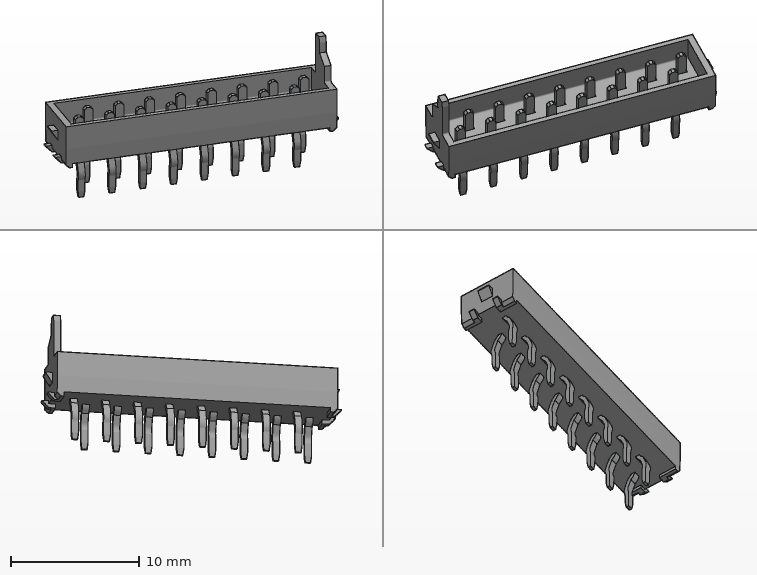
import cadquery as cq
import math

overall_length = 23.35
latch_reach = 0.51
housing_width = 5.0
housing_length = overall_length - 2 * latch_reach
half_length = housing_length / 2
rim_z = 6.7
crease_z = 4.75
underside_z = 3.45
foot_z = 3.13
base_width = 4.85

end_wall = 0.55
side_wall = 0.42
floor_z = 4.79
floor_fillet = 0.12

foot_inner_x = 0.89
foot_bevel = 0.28

upper_latch_width = 1.05
upper_latch_top_z = 5.58
upper_latch_lip = 0.07
lower_latch_width = 0.5
lower_latch_top_z = 3.7
lower_latch_lip = 0.05

tab_left_x = -1.1
tab_right_x = 1.07
tab_root_fillet = 0.15
tab_top_z = 10.1
tab_post_right_x = -0.1
tab_tip_taper = 0.12
tab_taper_z = 9.62
tab_notch_z = 8.78
tab_shoulder_z = 8.13

pin_count = 16
pin_span = 19.05
pin_pitch = pin_span / (pin_count - 1)
blade_row_x = 0.75
blade_thickness = 0.4
blade_length = 0.7
blade_top_z = 6.65
blade_tip_height = 0.19
blade_tip_length = 0.28
blade_root_z = 3.78
blade_collar_length = 0.86
blade_collar_height = 0.05
tail_row_x = 1.25
tail_thickness = 0.35
tail_length = 0.55
tail_taper_z = 0.51
tail_tip_thickness = 0.23
tail_tip_length = 0.42
heel_z = 1.5
knee_x = 1.38
knee_z = 1.94
hip_x = 1.03
hip_z = 2.92
root_x = 0.63
root_slope = math.radians(40)
bend_radius = 0.82
embedded_z = 3.97


def box(x_min, x_max, y_min, y_max, z_min, z_max):
    size = (x_max - x_min, y_max - y_min, z_max - z_min)
    return cq.Workplane("XY").box(*size, centered=False).translate((x_min, y_min, z_min))


def extrude_xz(points, y_min, y_max):
    """Extrude an (X, Z) outline from y_min to y_max."""
    return cq.Workplane("XZ", origin=(0, y_max, 0)).polyline(points).close().extrude(y_max - y_min)


def extrude_yz(points, x_center, width):
    """Extrude a (Y, Z) outline to the given width about x_center."""
    return cq.Workplane("YZ", origin=(x_center, 0, 0)).polyline(points).close().extrude(width / 2, both=True)


def make_body():
    half_top = housing_width / 2
    half_base = base_width / 2
    outline = [
        (-half_top, rim_z),
        (-half_top, crease_z),
        (-half_base, foot_z),
        (half_base, foot_z),
        (half_top, crease_z),
        (half_top, rim_z),
    ]
    body = extrude_xz(outline, -half_length, half_length)

    for end in (-1, 1):
        face_y = end * half_length
        bevel = [
            (face_y, foot_z),
            (face_y - end * foot_bevel, foot_z),
            (face_y, foot_z + foot_bevel),
        ]
        body = body.cut(extrude_yz(bevel, 0, housing_width))

    foot_end_y = half_length - end_wall
    body = body.cut(box(-half_top, half_top, -foot_end_y, foot_end_y, foot_z, underside_z))
    body = body.cut(box(-foot_inner_x, foot_inner_x, -half_length, half_length, foot_z, underside_z))
    return body


def make_cavity():
    half_width = housing_width / 2 - side_wall
    half_cavity = half_length - end_wall
    cavity = box(-half_width, half_width, -half_cavity, half_cavity, floor_z, rim_z)
    return cavity.edges("|Y and <Z").fillet(floor_fillet)


def make_upper_latch(end):
    face_y = end * half_length
    tip_y = face_y + end * latch_reach
    inside_y = face_y - end * end_wall / 2
    outline = [
        (inside_y, upper_latch_top_z),
        (tip_y, upper_latch_top_z),
        (tip_y, upper_latch_top_z - upper_latch_lip),
        (face_y, crease_z),
        (inside_y, crease_z),
    ]
    return extrude_yz(outline, 0, upper_latch_width)


def make_lower_latch(end, side):
    face_y = end * half_length
    tip_y = face_y + end * latch_reach
    inside_y = face_y - end * end_wall
    outline = [
        (inside_y, lower_latch_top_z),
        (tip_y, lower_latch_top_z),
        (tip_y, lower_latch_top_z - lower_latch_lip),
        (face_y, foot_z),
        (inside_y, foot_z),
    ]
    center_x = side * (foot_inner_x + lower_latch_width / 2)
    return extrude_yz(outline, center_x, lower_latch_width)


def add_key_tab(body):
    outline = [
        (tab_left_x, floor_z),
        (tab_left_x, tab_taper_z),
        (tab_left_x + tab_tip_taper, tab_top_z),
        (tab_post_right_x - tab_tip_taper, tab_top_z),
        (tab_post_right_x, tab_taper_z),
        (tab_post_right_x, tab_notch_z),
        (tab_right_x, tab_shoulder_z),
        (tab_right_x, floor_z),
    ]
    body = body.union(extrude_xz(outline, half_length - end_wall, half_length))
    tab_y = half_length - end_wall / 2
    for side_x in (tab_left_x, tab_right_x):
        root_edge = cq.selectors.NearestToPointSelector((side_x, tab_y, rim_z))
        body = body.edges("|Y").edges(root_edge).fillet(tab_root_fillet)
    return body


def make_blade():
    """Mating blade of a +X row pin, centred on Y = 0, with a sloped collar at the cavity floor."""
    half = blade_length / 2
    half_tip = blade_tip_length / 2
    half_collar = blade_collar_length / 2
    shoulder_z = blade_top_z - blade_tip_height
    right_side = [
        (half_collar, blade_root_z),
        (half_collar, floor_z),
        (half, floor_z + blade_collar_height),
        (half, shoulder_z),
        (half_tip, blade_top_z),
    ]
    left_side = [(-y, z) for y, z in reversed(right_side)]
    return extrude_yz(right_side + left_side, blade_row_x, blade_thickness)


def offset_path(path, distance):
    """Shift an (X, Z) path sideways by distance, mitring its corners; both ends run vertically."""
    headings = [math.atan2(x1 - x0, z1 - z0) for (x0, z0), (x1, z1) in zip(path, path[1:])]
    headings = [0.0] + headings + [0.0]
    shifted = []
    for (x, z), before, after in zip(path, headings, headings[1:]):
        middle = (before + after) / 2
        miter = distance / math.cos((after - before) / 2)
        shifted.append((x + miter * math.cos(middle), z - miter * math.sin(middle)))
    return shifted


def round_corner(strip, corner, radius):
    """Round the strip edge that passes through an (X, Z) corner."""
    x, z = corner
    edge = cq.selectors.NearestToPointSelector((x, 0, z))
    return strip.edges("|Y").edges(edge).fillet(radius)


def make_tail():
    """Kinked solder tail of a +X row pin, centred on Y = 0, with a tapered tip."""
    half = tail_thickness / 2
    root_z = hip_z + (hip_x - root_x) / math.tan(root_slope)
    path = [
        (tail_row_x, tail_taper_z),
        (tail_row_x, heel_z),
        (knee_x, knee_z),
        (hip_x, hip_z),
        (root_x, root_z),
        (root_x, embedded_z),
    ]
    inner_edge = offset_path(path, -half)
    outer_edge = offset_path(path, half)
    strip = extrude_xz(inner_edge + outer_edge[::-1], -tail_length / 2, tail_length / 2)

    knee = path.index((knee_x, knee_z))
    root = path.index((root_x, root_z))
    strip = round_corner(strip, inner_edge[knee], bend_radius - half)
    strip = round_corner(strip, outer_edge[knee], bend_radius + half)
    strip = round_corner(strip, inner_edge[root], bend_radius + half)
    strip = round_corner(strip, outer_edge[root], bend_radius - half)

    tip = (
        cq.Workplane("XY", origin=(tail_row_x, 0, 0))
        .rect(tail_tip_thickness, tail_tip_length)
        .workplane(offset=tail_taper_z)
        .rect(tail_thickness, tail_length)
        .loft(ruled=True)
    )
    return strip.union(tip)


def make_pin():
    return make_blade().union(make_tail())


result = add_key_tab(make_body().cut(make_cavity()))
for end in (-1, 1):
    result = result.union(make_upper_latch(end))
    for side in (-1, 1):
        result = result.union(make_lower_latch(end, side))

pin = make_pin()
mirrored_pin = pin.mirror("YZ")
for index in range(pin_count):
    pin_y = index * pin_pitch - pin_span / 2
    row_pin = pin if index % 2 == 0 else mirrored_pin
    result = result.union(row_pin.translate((0, pin_y, 0)))